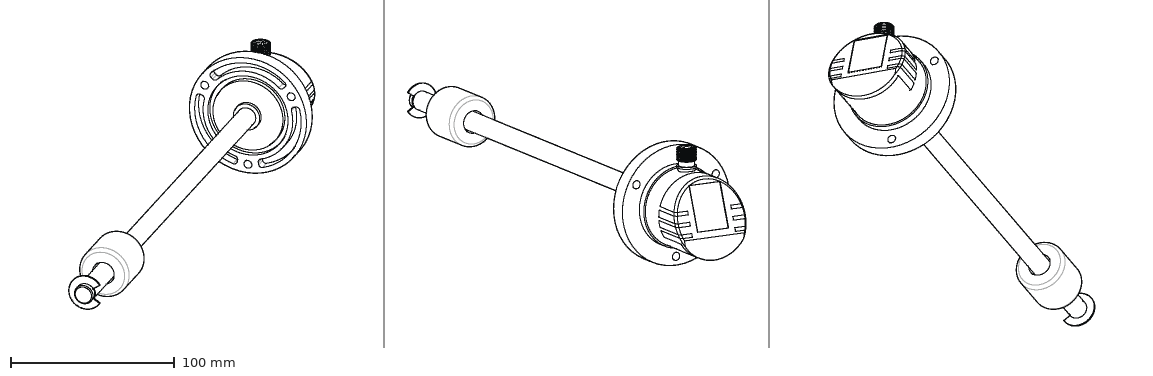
import cadquery as cq
import math


overall_length = 363.0
overall_height = 77.0

flange_diameter = 76.0
flange_thickness = 11.0
boss_diameter = 52.0
boss_back_y = 16.5
bolt_count = 3
bolt_diameter = 5.0
bolt_circle_radius = 32.3
arc_pocket_inner_radius = 29.0
arc_pocket_outer_radius = 34.5
arc_pocket_half_angle = 47.5
arc_pocket_corner_radius = 2.0
arc_pocket_depth = 7.3
groove_outer_diameter = boss_diameter
groove_width = 3.3
groove_depth = 3.5

head_diameter = 49.7
head_radius = head_diameter / 2
head_back_y = 57.7
slope_top_y = 44.3
slope_top_z = head_radius
slope_bottom_z = -10.0
cap_seam_y = 32.5
cap_lip_y = 53.5
cap_bottom_z = -13.0
tongue_height = 2.0
tongue_count = 3
tongue_pitch = 6.5
top_tongue_center_z = 5.5
tongue_inner_x = 15.2
slope_chamfer = 1.5
window_width = 21.8
window_length = 29.0
window_depth = 0.7

connector_y = 23.5
connector_top_z = overall_height - flange_diameter / 2
connector_neck_diameter = 9.8
connector_base_z = 21.8
connector_cone_bottom_z = 24.0
connector_ring_bottom_z = 26.5
connector_ring_top_z = 27.5
thread_bottom_z = 31.0
thread_diameter = 12.0
thread_root_diameter = 11.0
thread_ridge_count = 8
socket_diameter = 9.8
socket_depth = 5.5
contact_pin_diameter = 1.0
contact_pin_length = 4.5
contact_pin_circle_radius = 3.3

rod_diameter = 12.0
rod_end_y = head_back_y - overall_length
collar_diameter = 17.0
collar_length = 2.5
clip_groove_diameter = 9.8
tip_chamfer = 0.7

float_diameter = 32.0
float_bore_diameter = 14.0
float_back_y = -236.3
float_length = 32.0
float_edge_radius = 2.0

clip_diameter = 21.8
clip_back_y = -300.2
clip_thickness = 1.0
clip_opening_half_angle = 33.0


def disc(diameter, back_y, front_y):
    """Cylinder on the rod axis, from back_y forward to front_y."""
    return cq.Workplane("XZ", origin=(0, back_y, 0)).circle(diameter / 2).extrude(back_y - front_y)


def ring(outer_diameter, inner_diameter, back_y, front_y):
    return disc(outer_diameter, back_y, front_y).cut(disc(inner_diameter, back_y, front_y))


def polar_point(radius, angle):
    return (radius * math.cos(math.radians(angle)), radius * math.sin(math.radians(angle)))


def make_arc_pocket(center_angle):
    """Curved pocket volume with rounded corners, open at the flange front."""
    start = center_angle - arc_pocket_half_angle
    end = center_angle + arc_pocket_half_angle
    return (
        cq.Workplane("XZ", origin=(0, arc_pocket_depth, 0))
        .moveTo(*polar_point(arc_pocket_outer_radius, start))
        .threePointArc(
            polar_point(arc_pocket_outer_radius, center_angle), polar_point(arc_pocket_outer_radius, end)
        )
        .lineTo(*polar_point(arc_pocket_inner_radius, end))
        .threePointArc(
            polar_point(arc_pocket_inner_radius, center_angle), polar_point(arc_pocket_inner_radius, start)
        )
        .close()
        .extrude(arc_pocket_depth)
        .edges("|Y")
        .fillet(arc_pocket_corner_radius)
    )


def make_flange():
    """Disc with a rear boss, a round front groove, bolt holes and arc pockets between them."""
    flange = disc(flange_diameter, flange_thickness, 0)
    flange = flange.union(disc(boss_diameter, boss_back_y, 0))
    groove_inner_diameter = groove_outer_diameter - 2 * groove_width
    flange = flange.cut(ring(groove_outer_diameter, groove_inner_diameter, groove_depth, 0))
    for index in range(bolt_count):
        bolt_angle = -90 + index * 360 / bolt_count
        x, z = polar_point(bolt_circle_radius, bolt_angle)
        flange = flange.cut(disc(bolt_diameter, flange_thickness, 0).translate((x, 0, z)))
        flange = flange.cut(make_arc_pocket(bolt_angle + 180 / bolt_count))
    return flange


def make_head():
    """Cylinder behind the flange boss, cut by the sloping display face with chamfered rim."""
    head = disc(head_diameter, head_back_y, boss_back_y)
    above_slope = (
        cq.Workplane("YZ")
        .polyline(
            [
                (slope_top_y, slope_top_z),
                (head_back_y, slope_bottom_z),
                (head_back_y, slope_top_z),
            ]
        )
        .close()
        .extrude(head_radius, both=True)
    )
    head = head.cut(above_slope)
    slope_middle = (0, (slope_top_y + head_back_y) / 2, (slope_top_z + slope_bottom_z) / 2)
    slope_face = head.faces(cq.selectors.NearestToPointSelector(slope_middle))
    return head.newObject(slope_face.edges("not |X").vals()).chamfer(slope_chamfer)


def make_cap_region():
    """Space taken by the cap: above and behind the stepped seam, between the side tongues."""
    region = (
        cq.Workplane("YZ")
        .polyline(
            [
                (cap_seam_y, head_radius),
                (cap_seam_y, cap_bottom_z),
                (cap_lip_y, cap_bottom_z),
                (cap_lip_y, -head_radius),
                (head_back_y, -head_radius),
                (head_back_y, head_radius),
            ]
        )
        .close()
        .extrude(head_radius, both=True)
    )
    tongue_length = head_back_y - cap_seam_y
    tongue_depth = head_radius - tongue_inner_x
    for index in range(tongue_count):
        for side in (-1, 1):
            tongue = cq.Workplane("XY").box(tongue_depth, tongue_length, tongue_height)
            region = region.cut(
                tongue.translate(
                    (
                        side * (tongue_inner_x + tongue_depth / 2),
                        cap_seam_y + tongue_length / 2,
                        top_tongue_center_z - index * tongue_pitch,
                    )
                )
            )
    return region


def make_display_window():
    """Shallow rectangular recess volume, centred on the sloping face."""
    rise = slope_top_z - slope_bottom_z
    run = head_back_y - slope_top_y
    slope_plane = cq.Plane(
        origin=(0, (slope_top_y + head_back_y) / 2, (slope_top_z + slope_bottom_z) / 2),
        xDir=(1, 0, 0),
        normal=(0, rise, run),
    )
    return cq.Workplane(slope_plane).rect(window_width, window_length).extrude(-window_depth)


def make_cap():
    """Rear part of the head, which carries the display."""
    return make_head().intersect(make_cap_region()).cut(make_display_window())


def make_connector():
    """Plug stub: cone, ring, neck, ridged thread and a socket with contact pins."""
    neck_radius = connector_neck_diameter / 2
    thread_radius = thread_diameter / 2
    root_radius = thread_root_diameter / 2
    ridge_pitch = (connector_top_z - thread_bottom_z) / thread_ridge_count
    outline = (
        cq.Workplane("XZ")
        .moveTo(0, connector_base_z)
        .lineTo(neck_radius, connector_base_z)
        .lineTo(neck_radius, connector_cone_bottom_z)
        .lineTo(thread_radius, connector_ring_bottom_z)
        .lineTo(thread_radius, connector_ring_top_z)
        .lineTo(neck_radius, connector_ring_top_z)
        .lineTo(neck_radius, thread_bottom_z)
        .lineTo(root_radius, thread_bottom_z)
    )
    for index in range(thread_ridge_count):
        ridge_z = thread_bottom_z + index * ridge_pitch
        outline = outline.lineTo(thread_radius, ridge_z + ridge_pitch / 2)
        outline = outline.lineTo(root_radius, ridge_z + ridge_pitch)
    connector = outline.lineTo(0, connector_top_z).close().revolve(360, (0, 0, 0), (0, 1, 0))

    socket_floor_z = connector_top_z - socket_depth
    socket_floor = cq.Workplane("XY", origin=(0, 0, socket_floor_z))
    connector = connector.cut(socket_floor.circle(socket_diameter / 2).extrude(socket_depth))
    pin_places = [(0, 0)] + [polar_point(contact_pin_circle_radius, angle) for angle in (0, 90, 180, 270)]
    pins = socket_floor.pushPoints(pin_places).circle(contact_pin_diameter / 2).extrude(contact_pin_length)
    return connector.union(pins).translate((0, connector_y, 0))


def make_housing():
    """Front part of the head with its side tongues, and the plug connector on top."""
    return make_head().cut(make_cap_region()).union(make_connector())


def make_rod():
    """Rod with a chamfered tip, a collar against the flange and a groove for the clip."""
    rod = disc(rod_diameter, 0, rod_end_y).faces("<Y").chamfer(tip_chamfer)
    rod = rod.union(disc(collar_diameter, 0, -collar_length))
    clip_front_y = clip_back_y - clip_thickness
    return rod.cut(ring(rod_diameter, clip_groove_diameter, clip_back_y, clip_front_y))


def make_float():
    """Hollow cylinder, loose on the rod, with rounded outer edges."""
    float_front_y = float_back_y - float_length
    body = disc(float_diameter, float_back_y, float_front_y).edges().fillet(float_edge_radius)
    return body.cut(disc(float_bore_diameter, float_back_y, float_front_y))


def make_clip():
    """Snap ring seated in the rod groove, with its mouth toward +X."""
    front_y = clip_back_y - clip_thickness
    full_ring = ring(clip_diameter, clip_groove_diameter, clip_back_y, front_y)
    mouth_half_width = clip_diameter * math.tan(math.radians(clip_opening_half_angle))
    mouth = (
        cq.Workplane("XZ", origin=(0, clip_back_y, 0))
        .polyline([(0, 0), (clip_diameter, mouth_half_width), (clip_diameter, -mouth_half_width)])
        .close()
        .extrude(clip_thickness)
    )
    return full_ring.cut(mouth)


flange = make_flange()
housing = make_housing()
cap = make_cap()
rod = make_rod()
float_body = make_float()
clip = make_clip()

result = cq.Compound.makeCompound(
    [flange.val(), housing.val(), cap.val(), rod.val(), float_body.val(), clip.val()]
)